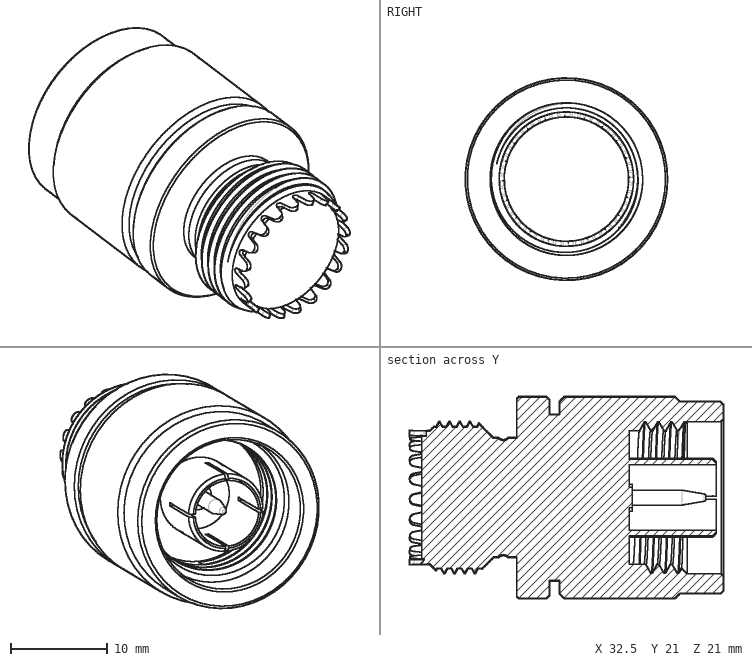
import cadquery as cq
import math


length = 32.55
sleeve_start = 4.52
sleeve_end = 17.02
flange_start = 18.03
flange_end = 21.45
cone_start = 23.85
ring_start = 30.42

sleeve_radius = 10.495
collar_radius = 10.0
waist_radius = 8.65
neck_radius = 6.25
collar_chamfer = 0.33
sleeve_chamfer = 0.52
flange_chamfer = 0.33
flange_back_chamfer = 0.23

neck_groove_x = 22.8
neck_groove_width = 1.05
neck_groove_depth = 0.23

plug_radius = 7.9
plug_thread_depth = 0.52
plug_thread_pitch = 1.058
plug_thread_mouth = 0.98
plug_thread_root = 0.42
plug_thread_start = 24.7
plug_thread_turns = 5.9

ring_radius = 6.95
ring_wall = 0.52
tooth_count = 20
tooth_depth = 1.72
tooth_tip_radius = 0.6
valley_radius = 0.31
first_valley_angle = 7.5
plug_face_depth = 1.27

socket_depth = 9.75
socket_mouth_radius = 8.17
socket_radius = 7.9
socket_lip = socket_mouth_radius - socket_radius
socket_straight = 3.77
socket_bore_radius = 6.95
liner_radius = 8.8

socket_thread_depth = 0.9
socket_thread_pitch = 1.37
socket_thread_mouth = 1.15
socket_thread_root = 0.1
socket_thread_start = 2.67
socket_thread_turns = 4.5

contact_radius = 4.1
contact_bore_radius = 3.48
contact_chamfer = 0.4
contact_front = 0.75
slot_width = 0.33
slot_count = 4
slot_length = 6.18
pin_front = 1.82
pin_tip_radius = 0.4
pin_tip_rounding = 0.23
pin_radius = 0.78
pin_taper_length = 2.28
boss_radius = 1.4
boss_height = 0.33


def revolve_about_axis(outline):
    """Turn a closed outline of (x, radius) about the X axis."""
    return outline.close().revolve(360, (0, 0, 0), (1, 0, 0))


def cylinder(x_start, x_end, radius):
    return cq.Workplane("YZ", origin=(x_start, 0, 0)).circle(radius).extrude(x_end - x_start)


def outer_body():
    half_groove = neck_groove_width / 2
    outline = (
        cq.Workplane("XY")
        .moveTo(0, 0)
        .lineTo(0, collar_radius - collar_chamfer)
        .lineTo(collar_chamfer, collar_radius)
        .lineTo(sleeve_start, collar_radius)
        .lineTo(sleeve_start + sleeve_chamfer, sleeve_radius)
        .lineTo(sleeve_end - sleeve_chamfer, sleeve_radius)
        .lineTo(sleeve_end, sleeve_radius - sleeve_chamfer)
        .lineTo(sleeve_end, waist_radius)
        .lineTo(flange_start, waist_radius)
        .lineTo(flange_start, sleeve_radius - flange_chamfer)
        .lineTo(flange_start + flange_chamfer, sleeve_radius)
        .lineTo(flange_end - flange_back_chamfer, sleeve_radius)
        .lineTo(flange_end, sleeve_radius - flange_back_chamfer)
        .lineTo(flange_end, neck_radius)
        .lineTo(neck_groove_x - half_groove, neck_radius)
        .threePointArc(
            (neck_groove_x, neck_radius - neck_groove_depth),
            (neck_groove_x + half_groove, neck_radius),
        )
        .lineTo(cone_start, neck_radius)
        .lineTo(cone_start, 0)
    )
    return revolve_about_axis(outline)


def thread_cutter(start, pitch, turns, surface_radius, root_radius, mouth, root):
    """Right-handed helical groove from surface_radius to root_radius, starting above the axis."""
    overshoot = 0.03
    flank_slope = (mouth - root) / 2 / (root_radius - surface_radius)
    outward = math.copysign(overshoot, surface_radius - root_radius)
    open_radius = surface_radius + outward
    open_half = mouth / 2 - flank_slope * outward
    path = cq.Wire.makeHelix(pitch, pitch * turns, surface_radius)
    groove = (
        cq.Workplane("XZ")
        .moveTo(root_radius, -root / 2)
        .lineTo(root_radius, root / 2)
        .lineTo(open_radius, open_half)
        .lineTo(open_radius, -open_half)
        .close()
        .sweep(cq.Workplane(path), isFrenet=True)
    )
    along_x = groove.rotate((0, 0, 0), (0, 1, 0), 90)
    return along_x.rotate((0, 0, 0), (1, 0, 0), 180).translate((start, 0, 0))


def threaded_plug():
    """Thread with a 45 degree cone at each end, from the neck to the castellated ring."""
    outline = (
        cq.Workplane("XY")
        .moveTo(cone_start, 0)
        .lineTo(cone_start, neck_radius)
        .lineTo(cone_start + plug_radius - neck_radius, plug_radius)
        .lineTo(ring_start - (plug_radius - ring_radius), plug_radius)
        .lineTo(ring_start, ring_radius)
        .lineTo(ring_start, 0)
    )
    thread = thread_cutter(
        plug_thread_start,
        plug_thread_pitch,
        plug_thread_turns,
        plug_radius,
        plug_radius - plug_thread_depth,
        plug_thread_mouth,
        plug_thread_root,
    )
    rod = cylinder(flange_end, length, plug_radius).cut(thread)
    return revolve_about_axis(outline).intersect(rod)


def valley_cutter():
    """One gap between teeth, cut inward from the -Y side."""
    half_pitch = math.pi * ring_radius / tooth_count
    tip_x = length - tooth_tip_radius
    valley_x = length - tooth_depth + valley_radius
    centre_distance = math.hypot(tip_x - valley_x, half_pitch)
    flank = math.atan2(half_pitch, tip_x - valley_x) - math.asin(
        (tooth_tip_radius + valley_radius) / centre_distance
    )
    flank_low = (valley_x - valley_radius * math.sin(flank), valley_radius * math.cos(flank))
    flank_high = (
        tip_x + tooth_tip_radius * math.sin(flank),
        half_pitch - tooth_tip_radius * math.cos(flank),
    )
    arc_middle = (flank + math.pi / 2) / 2
    tip_middle = (
        tip_x + tooth_tip_radius * math.sin(arc_middle),
        half_pitch - tooth_tip_radius * math.cos(arc_middle),
    )
    return (
        cq.Workplane("XZ")
        .moveTo(length, half_pitch)
        .threePointArc(tip_middle, flank_high)
        .lineTo(*flank_low)
        .threePointArc((length - tooth_depth, 0), (flank_low[0], -flank_low[1]))
        .lineTo(flank_high[0], -flank_high[1])
        .threePointArc((tip_middle[0], -tip_middle[1]), (length, -half_pitch))
        .close()
        .extrude(2 * ring_radius)
    )


def castellated_ring():
    inner_radius = ring_radius - ring_wall
    face_x = length - plug_face_depth
    ring = cylinder(ring_start, length, ring_radius).cut(cylinder(ring_start, length, inner_radius))
    core = cylinder(ring_start, face_x, inner_radius)
    valley = valley_cutter()
    for index in range(tooth_count):
        angle = first_valley_angle + index * 360 / tooth_count
        ring = ring.cut(valley.rotate((0, 0, 0), (1, 0, 0), -angle))
    return ring.union(core)


def threaded_liner():
    """Socket wall with its internal thread and the 45 degree lead-in to that thread."""
    outline = (
        cq.Workplane("XY")
        .moveTo(0, liner_radius)
        .lineTo(0, socket_mouth_radius)
        .lineTo(socket_lip, socket_radius)
        .lineTo(socket_straight, socket_radius)
        .lineTo(socket_straight + socket_radius - socket_bore_radius, socket_bore_radius)
        .lineTo(socket_depth, socket_bore_radius)
        .lineTo(socket_depth, liner_radius)
    )
    thread = thread_cutter(
        socket_thread_start,
        socket_thread_pitch,
        socket_thread_turns,
        socket_bore_radius,
        socket_bore_radius + socket_thread_depth,
        socket_thread_mouth,
        socket_thread_root,
    )
    bore = cylinder(0, socket_depth, socket_bore_radius)
    tube = cylinder(0, socket_depth, liner_radius).cut(bore).cut(thread)
    return revolve_about_axis(outline).intersect(tube)


def contact_sleeve():
    outline = (
        cq.Workplane("XY")
        .moveTo(contact_front, contact_bore_radius)
        .lineTo(contact_front, contact_radius - contact_chamfer)
        .lineTo(contact_front + contact_chamfer, contact_radius)
        .lineTo(socket_depth, contact_radius)
        .lineTo(socket_depth, contact_bore_radius)
    )
    sleeve = revolve_about_axis(outline)
    slot = cq.Workplane("XY").box(
        slot_length, 2 * contact_radius, slot_width, centered=(False, False, True)
    ).translate((contact_front, 0, 0))
    for index in range(slot_count):
        sleeve = sleeve.cut(slot.rotate((0, 0, 0), (1, 0, 0), index * 360 / slot_count))
    return sleeve


def centre_pin():
    taper_start = pin_front + pin_tip_rounding
    taper_end = taper_start + pin_taper_length
    rounding_middle = pin_tip_rounding * (1 - math.sqrt(0.5))
    outline = (
        cq.Workplane("XY")
        .moveTo(pin_front, 0)
        .lineTo(pin_front, pin_tip_radius - pin_tip_rounding)
        .threePointArc(
            (pin_front + rounding_middle, pin_tip_radius - rounding_middle),
            (taper_start, pin_tip_radius),
        )
        .lineTo(taper_end, pin_radius)
        .lineTo(socket_depth - boss_height, pin_radius)
        .lineTo(socket_depth - boss_height, boss_radius)
        .lineTo(socket_depth, boss_radius)
        .lineTo(socket_depth, 0)
    )
    return revolve_about_axis(outline)


body = outer_body().cut(cylinder(0, socket_depth, liner_radius)).union(threaded_liner())
body = body.union(threaded_plug()).union(castellated_ring())
result = body.union(contact_sleeve()).union(centre_pin())

result = result.translate((-length / 2, 0, 0))